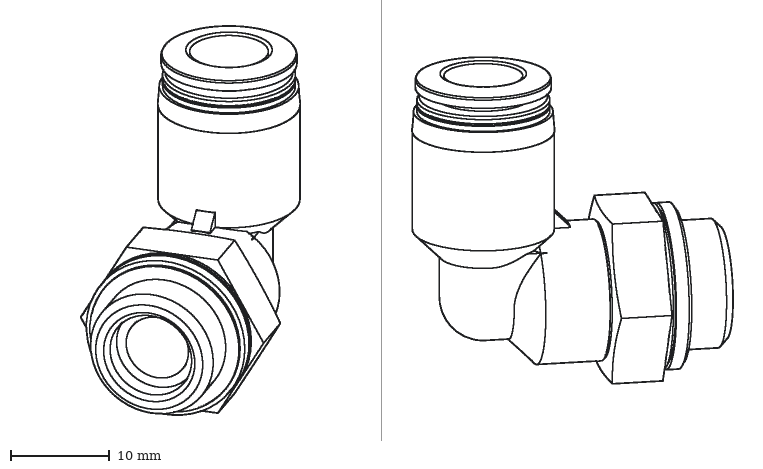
import cadquery as cq
import math


elbow_radius = 4.48
body_radius = 7.25
stud_body_radius = 7.2
sleeve_radius = 7.2
cone_start = 2.35
cone_length = 2.75

sleeve_bottom = 7.15
sleeve_cone_bottom = sleeve_bottom - cone_length
cap_bottom = 17.65
cap_top = 19.7
cap_top_radius = 7.1
collar_top = 21.22
collar_radius = 13.5 / 2
collar_rounding = 0.25
collar_groove_radius = 13.17 / 2
collar_groove_bottom = 20.25
collar_groove_top = 20.48
release_neck_radius = 9.5 / 2
release_neck_flare = 0.13
release_neck_flare_height = 0.32
release_bottom = 22.22
release_rim_top = 23.1
release_cone_bottom = 23.3
release_radius = 13.8 / 2
release_rim_chamfer = 0.1
socket_top = 23.7

stud_body_end = 11.75
swivel_neck_radius = 7.02
hex_start = 11.98
hex_end = 17.6
hex_corner_diameter = 19.65
hex_chamfer_radius = 7.92
hex_chamfer_depth = 0.42
washer_lip_end = 18.0
washer_start = 18.32
washer_end = 19.65
seat_end = 20.0
washer_radius = 17.0 / 2
seat_radius = 16.0 / 2
thread_radius = 13.17 / 2
thread_chamfer = 0.85
stud_end = 24.7

passage_radius = 6.7 / 2
tube_bore_radius = 8.0 / 2
tube_entry_radius = 8.75 / 2
tube_entry_depth = 0.2
tube_stop = 8.05
stud_bore_radius = 8.75 / 2
stud_entry_radius = 4.9
stud_bore_depth = 2.5

rib_width = 2.0
rib_leg = 1.55


def turned(profile):
    """Revolve (radius, height) points about Z."""
    return cq.Workplane("XZ").polyline(profile).close().revolve(360, (0, 0, 0), (0, 1, 0))


def along_stud(shape):
    """Swing a shape built along +Z onto the stud direction -Y."""
    return shape.rotate((0, 0, 0), (1, 0, 0), 90)


def make_elbow():
    ball = cq.Workplane("XY").sphere(elbow_radius)
    upright = cq.Workplane("XY").circle(elbow_radius).extrude(sleeve_bottom)
    level = along_stud(upright)
    web_height = math.sqrt(body_radius**2 - elbow_radius**2)
    web = cq.Workplane("XY").box(2 * elbow_radius, web_height, web_height, centered=(True, False, False))
    return ball.union(upright).union(level).union(web.translate((0, -web_height, 0)))


def make_socket():
    return turned([
        (0, sleeve_cone_bottom),
        (elbow_radius, sleeve_cone_bottom),
        (sleeve_radius, sleeve_bottom),
        (sleeve_radius, cap_bottom),
        (body_radius, cap_bottom),
        (cap_top_radius, cap_top),
        (collar_radius, cap_top),
        (collar_radius, collar_groove_bottom),
        (collar_groove_radius, collar_groove_bottom),
        (collar_groove_radius, collar_groove_top),
        (collar_radius, collar_groove_top),
        (collar_radius, collar_top - collar_rounding),
        (collar_radius - collar_rounding, collar_top),
        (release_neck_radius, collar_top),
        (release_neck_radius, release_bottom - release_neck_flare_height),
        (release_neck_radius + release_neck_flare, release_bottom),
        (release_radius, release_bottom),
        (release_radius, release_rim_top),
        (release_radius - release_rim_chamfer, release_cone_bottom),
        (tube_entry_radius, socket_top),
        (0, socket_top),
    ])


def make_stud():
    turned_stud = turned([
        (0, cone_start),
        (elbow_radius, cone_start),
        (stud_body_radius, cone_start + cone_length),
        (stud_body_radius, stud_body_end),
        (swivel_neck_radius, stud_body_end),
        (swivel_neck_radius, hex_end),
        (washer_radius, hex_end),
        (washer_radius, washer_lip_end),
        (seat_radius, washer_lip_end),
        (seat_radius, washer_start),
        (washer_radius, washer_start),
        (washer_radius, washer_end),
        (seat_radius, washer_end),
        (seat_radius, seat_end),
        (thread_radius, seat_end),
        (thread_radius, stud_end - thread_chamfer),
        (thread_radius - thread_chamfer, stud_end),
        (0, stud_end),
    ])
    return along_stud(turned_stud.union(make_hex()))


def make_hex():
    prism = (
        cq.Workplane("XY")
        .workplane(offset=hex_start)
        .polygon(6, hex_corner_diameter)
        .extrude(hex_end - hex_start)
    )
    corner_radius = hex_corner_diameter / 2
    corner_envelope = turned([
        (0, hex_start),
        (hex_chamfer_radius, hex_start),
        (corner_radius, hex_start + hex_chamfer_depth),
        (corner_radius, hex_end),
        (0, hex_end),
    ])
    return prism.intersect(corner_envelope)


def make_rib():
    rib_top = body_radius + rib_leg
    return (
        cq.Workplane("YZ")
        .polyline([(0, 0), (-rib_top, 0), (-rib_top, body_radius), (-body_radius, rib_top), (0, rib_top)])
        .close()
        .extrude(rib_width / 2, both=True)
    )


def make_passages():
    bend = cq.Workplane("XY").sphere(passage_radius)
    tube_bore = turned([
        (0, 0),
        (passage_radius, 0),
        (passage_radius, tube_stop),
        (tube_bore_radius, tube_stop),
        (tube_bore_radius, socket_top - tube_entry_depth),
        (tube_entry_radius, socket_top),
        (0, socket_top),
    ])
    stud_chamfer = stud_entry_radius - stud_bore_radius
    stud_bore = turned([
        (0, 0),
        (passage_radius, 0),
        (passage_radius, stud_end - stud_bore_depth),
        (stud_bore_radius, stud_end - stud_bore_depth),
        (stud_bore_radius, stud_end - stud_chamfer),
        (stud_entry_radius, stud_end),
        (0, stud_end),
    ])
    return bend.union(tube_bore).union(along_stud(stud_bore))


solid_elbow = make_elbow().union(make_socket()).union(make_stud()).union(make_rib())
result = solid_elbow.cut(make_passages())